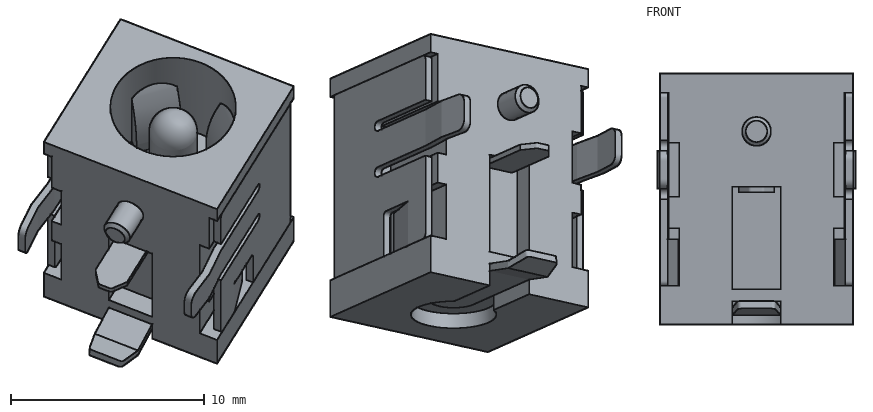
import cadquery as cq
import math


width = 10.0
depth = 9.0
height = 13
half_width = width / 2
lead_reach = 3.0

axis_y = 5.0
bore_dia = 6.5
bore_floor_z = 7.0
pin_dia = 2.5
pin_top_z = 12.2
foot_recess_dia = 4.42

bulge_width = 2.48
bulge_top_z = 10.98
bulge_inner_radius = 2.22
bulge_arc_radius = 5.98
bulge_root = 0.26
bulge_angles = (45, 135)

post_dia = 1.5
post_length = 1.77
post_chamfer = 0.2
post_z = 10.0

sheet = 0.4
shield_bottom_z = 2.0
shield_top_z = 12.0
shield_front_y = 0.45
bend_radius = 0.51
shield_corner = 0.25
side_gap = 0.05

leg_bottom_z = 7.02
leg_height = 1.98
leg_top_z = leg_bottom_z + leg_height
leg_slit = 0.53
leg_slit_end_y = 5.0
leg_bend_y = -1.2
width_over_legs = 10.3
leg_bulge = (width_over_legs - width) / 2
leg_corner = 0.5

window_top_z = 4.42
window_front_y = 2.03
window_back_y = 4.21
tongue_length = 2.13
tongue_angle = 15

pocket_depth = 1.0
leg_pocket_margin = 0.42
tongue_pocket_top_z = 4.98

slot_width = 2.5
slot_depth = 1.05
slot_bottom_z = 1.83
slot_top_z = 7.14
tab_width = 1.82
tab_thickness = 0.3
tab_tip_width = 0.73
tab_taper_start = 2.24

pin_lead_top_z = 1.2
pin_lead_bottom_z = pin_lead_top_z - sheet
pin_lead_bend_y = -1.65
pin_lead_drop = 0.3
pin_lead_rise = 0.34
pin_lead_tip_width = 1.87

lead_tip_corner = 0.2


def block(x_range, y_range, z_range):
    """Box between the given limits."""
    (x0, x1), (y0, y1), (z0, z1) = x_range, y_range, z_range
    return cq.Workplane("XY").box(x1 - x0, y1 - y0, z1 - z0, centered=False).translate((x0, y0, z0))


def prism(points, z_range):
    """Upright prism on an XY outline."""
    z0, z1 = z_range
    return cq.Workplane("XY").workplane(offset=z0).polyline(points).close().extrude(z1 - z0)


def both_sides(shape):
    """The shape and its mirror image across the symmetry plane."""
    return shape.union(shape.mirror("YZ"))


def round_tip(lead):
    """The lead with the two short edges of its end face rounded."""
    return lead.faces("<Y").edges("not(|X)").fillet(lead_tip_corner)


def make_bulge(angle):
    """Bulge on the bore wall: upright below the crest, curving back into the wall above it."""
    outer_radius = bore_dia / 2 + bulge_root
    wall_inset = bore_dia / 2 - bulge_inner_radius
    crest_drop = math.sqrt(bulge_arc_radius**2 - (bulge_arc_radius - wall_inset) ** 2)
    crest_z = bulge_top_z - crest_drop
    arc_centre_r = bulge_inner_radius + bulge_arc_radius
    end_angle = math.acos((arc_centre_r - outer_radius) / bulge_arc_radius)

    def arc_point(turn):
        return (
            arc_centre_r - bulge_arc_radius * math.cos(turn),
            crest_z + bulge_arc_radius * math.sin(turn),
        )

    return (
        cq.Workplane("XZ")
        .moveTo(outer_radius, bore_floor_z)
        .lineTo(bulge_inner_radius, bore_floor_z)
        .lineTo(bulge_inner_radius, crest_z)
        .threePointArc(arc_point(end_angle / 2), arc_point(end_angle))
        .close()
        .extrude(bulge_width / 2, both=True)
        .rotate((0, 0, 0), (0, 0, 1), angle)
        .translate((0, axis_y, 0))
    )


def make_housing():
    body = block((-half_width, half_width), (0, depth), (0, height))

    shield_zone = block((-half_width, half_width), (0, depth), (shield_bottom_z, shield_top_z))
    core_half = half_width - sheet - side_gap
    core = block((-core_half, core_half), (0, depth - sheet), (shield_bottom_z, shield_top_z))
    core = core.edges("|Z and >Y").fillet(bend_radius - sheet)
    body = body.cut(shield_zone.cut(core))

    pocket_x = (half_width - pocket_depth, half_width)
    pocket_y = (0, leg_slit_end_y)
    leg_pocket_z = (leg_bottom_z - leg_pocket_margin, leg_top_z + leg_pocket_margin)
    body = body.cut(both_sides(block(pocket_x, pocket_y, leg_pocket_z)))
    tongue_pocket_z = (shield_bottom_z, tongue_pocket_top_z)
    body = body.cut(both_sides(block(pocket_x, pocket_y, tongue_pocket_z)))

    bore = (
        cq.Workplane("XY", origin=(0, axis_y, bore_floor_z))
        .circle(bore_dia / 2)
        .extrude(height - bore_floor_z)
    )
    for angle in bulge_angles:
        bore = bore.cut(make_bulge(angle))
    body = body.cut(bore)

    pin_hole = cq.Workplane("XY", origin=(0, axis_y, 0)).circle(pin_dia / 2).extrude(bore_floor_z)
    lead_slot = block((-pin_dia / 2, pin_dia / 2), (0, axis_y), (0, pin_lead_top_z))
    foot_recess = (
        cq.Workplane("XY", origin=(0, axis_y, 0))
        .circle(foot_recess_dia / 2)
        .extrude(pin_lead_bottom_z)
    )
    body = body.cut(pin_hole).cut(lead_slot).cut(foot_recess)

    slot_x = (-slot_width / 2, slot_width / 2)
    body = body.cut(block(slot_x, (0, slot_depth), (slot_bottom_z, slot_top_z)))

    post = (
        cq.Workplane("XZ", origin=(0, 0, post_z))
        .circle(post_dia / 2)
        .extrude(post_length)
        .faces("<Y")
        .chamfer(post_chamfer)
    )
    return body.union(post)


def make_leg_end():
    """Bent free end of the +X leg, from the front edge of the shield to the tip."""
    bend_x = half_width + leg_bulge
    outline = [
        (half_width, shield_front_y),
        (bend_x, leg_bend_y),
        (half_width, -lead_reach),
        (half_width - sheet, -lead_reach),
        (bend_x - sheet, leg_bend_y),
        (half_width - sheet, shield_front_y),
    ]
    return prism(outline, (leg_bottom_z, leg_top_z)).faces("<Y").edges("|X").fillet(leg_corner)


def make_leg_slit(bottom_z):
    """Slit with a round inner end through the +X side of the shield."""
    end_centre_y = leg_slit_end_y - leg_slit / 2
    side_x = (half_width - sheet, half_width)
    slit = block(side_x, (shield_front_y, end_centre_y), (bottom_z, bottom_z + leg_slit))
    round_end = (
        cq.Workplane("YZ", origin=(half_width - sheet, end_centre_y, bottom_z + leg_slit / 2))
        .circle(leg_slit / 2)
        .extrude(sheet)
    )
    return slit.union(round_end)


def make_tongue():
    """Tongue of the +X window, bent inward about its front edge."""
    return block(
        (half_width - sheet, half_width),
        (window_front_y, window_front_y + tongue_length),
        (shield_bottom_z, window_top_z),
    ).rotate((half_width, window_front_y, 0), (half_width, window_front_y, 1), tongue_angle)


def make_shield():
    z_range = (shield_bottom_z, shield_top_z)
    inner_half = half_width - sheet
    outside = block((-half_width, half_width), (shield_front_y, depth), z_range)
    outside = outside.edges("|Z and >Y").fillet(bend_radius)
    inside = block((-inner_half, inner_half), (shield_front_y, depth - sheet), z_range)
    inside = inside.edges("|Z and >Y").fillet(bend_radius - sheet)
    body = outside.cut(inside).faces("<Y").edges("|X").fillet(shield_corner)

    window = block(
        (inner_half, half_width),
        (window_front_y, window_back_y),
        (shield_bottom_z, window_top_z),
    )
    window = window.edges("|X and >Y and >Z").fillet(shield_corner)
    body = body.cut(both_sides(window))

    for slit_bottom_z in (leg_bottom_z - leg_slit, leg_top_z):
        body = body.cut(both_sides(make_leg_slit(slit_bottom_z)))
    return body.union(both_sides(make_leg_end())).union(both_sides(make_tongue()))


def make_pin():
    """Round pin with a domed top, and the bent lead at its foot."""
    radius = pin_dia / 2
    shaft = (
        cq.Workplane("XY", origin=(0, axis_y, pin_lead_bottom_z))
        .circle(radius)
        .extrude(pin_top_z - radius - pin_lead_bottom_z)
    )
    dome = cq.Workplane("XY").sphere(radius).translate((0, axis_y, pin_top_z - radius))

    bend_z = pin_lead_bottom_z - pin_lead_drop
    tip_z = bend_z + pin_lead_rise
    rise_angle = math.atan2(pin_lead_rise, lead_reach + pin_lead_bend_y)
    profile = [
        (axis_y, pin_lead_bottom_z),
        (0, pin_lead_bottom_z),
        (pin_lead_bend_y, bend_z),
        (-lead_reach, tip_z),
        (-lead_reach + sheet * math.sin(rise_angle), tip_z + sheet * math.cos(rise_angle)),
        (pin_lead_bend_y, bend_z + sheet),
        (0, pin_lead_top_z),
        (axis_y, pin_lead_top_z),
    ]
    strip = cq.Workplane("YZ").polyline(profile).close().extrude(radius, both=True)
    half_plan = [
        (0, axis_y),
        (radius, axis_y),
        (radius, pin_lead_bend_y),
        (pin_lead_tip_width / 2, -lead_reach),
        (0, -lead_reach),
    ]
    plan = both_sides(prism(half_plan, (0, height)))
    lead = round_tip(strip.intersect(plan))
    return shaft.union(dome).union(lead)


def make_sleeve_terminal():
    """Flat tapered tab under the roof of the front slot."""
    half_outline = [
        (0, slot_depth),
        (tab_width / 2, slot_depth),
        (tab_width / 2, -tab_taper_start),
        (tab_tip_width / 2, -lead_reach),
        (0, -lead_reach),
    ]
    return round_tip(both_sides(prism(half_outline, (slot_top_z - tab_thickness, slot_top_z))))


housing = make_housing()
shield = make_shield()
centre_pin = make_pin()
sleeve_terminal = make_sleeve_terminal()

result = cq.Compound.makeCompound(
    [housing.val(), shield.val(), centre_pin.val(), sleeve_terminal.val()]
)